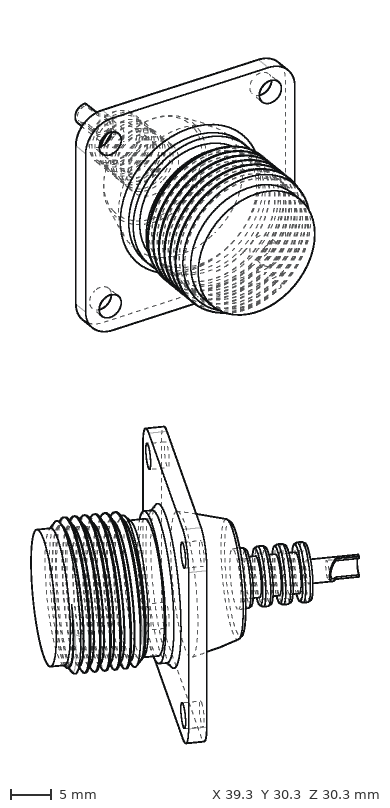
import cadquery as cq
import math

total_length = 39.3

cup_radius = 1.5
cup_bore_radius = 1.18
cup_bore_depth = 3.95
cup_flat_length = 2.9
cup_slope_end = 3.95

stem_start = 6.4
rib_pitch = 2.48
rib_width = 1.3
rib_count = 3
rib_radius = 3.75
rib_bevel_height = 0.2
rib_bevel_length = 0.35
groove_radius = 2.55
collar_start = stem_start + rib_count * rib_pitch

cone_start = 15.45
cone_bevel_length = 0.4
cone_face_radius = 7.1
cone_small_radius = 7.43
cone_large_radius = 9.0
cone_bulge = 0.1

flange_start = 21.8
flange_thickness = 2.28
flange_side = 30.3
flange_corner_radius = 3.85
hole_spacing = 23.2
hole_diameter = 3.2
flange_end = flange_start + flange_thickness

shoulder_base_radius = 10.15
shoulder_radius = 9.4
shoulder_taper_end = 24.85
shoulder_end = 25.85
barrel_radius = 8.45

thread_start = 27.82
thread_end = 37.57
thread_crest_radius = 9.63
thread_root_radius = 8.72
thread_crest_flat = 0.15
thread_half_angle = math.radians(30)
thread_root_overlap = 0.05
helix_start = 26.15
helix_length = 12.7
helix_turns = 10
thread_pitch = helix_length / helix_turns
trim_clearance = 1.18


def revolve_profile(profile):
    """Turn a closed XY profile about the X axis."""
    return profile.close().revolve(360, (0, 0, 0), (1, 0, 0))


def cylinder(start, end, radius):
    """Round bar on the X axis between two stations."""
    return cq.Workplane("YZ", origin=(start, 0, 0)).circle(radius).extrude(end - start)


def make_solder_cup():
    """Bored pin whose +Y half is cut away at the tip, with a sloped end to the cut."""
    pin = cylinder(0, stem_start, cup_radius)
    bore = cylinder(0, cup_bore_depth, cup_bore_radius)
    opening = (
        cq.Workplane("XY")
        .polyline([(0, 0), (cup_flat_length, 0), (cup_slope_end, cup_radius), (0, cup_radius)])
        .close()
        .extrude(cup_radius, both=True)
    )
    return pin.cut(bore).cut(opening)


def make_rib(start):
    """Disc with both rims bevelled."""
    end = start + rib_width
    rim_radius = rib_radius - rib_bevel_height
    profile = cq.Workplane("XY").polyline([
        (start, 0),
        (start, rim_radius),
        (start + rib_bevel_length, rib_radius),
        (end - rib_bevel_length, rib_radius),
        (end, rim_radius),
        (end, 0),
    ])
    return revolve_profile(profile)


def make_stem():
    """Grooved stem: a core, evenly spaced ribs and a collar bevelled on its front rim."""
    stem = cylinder(stem_start, cone_start, groove_radius)
    for index in range(rib_count):
        stem = stem.union(make_rib(stem_start + index * rib_pitch))
    collar = revolve_profile(cq.Workplane("XY").polyline([
        (collar_start, 0),
        (collar_start, rib_radius - rib_bevel_height),
        (collar_start + rib_bevel_length, rib_radius),
        (cone_start, rib_radius),
        (cone_start, 0),
    ]))
    return stem.union(collar)


def make_cone():
    """Slightly bulged cone with a bevelled front rim."""
    side_start = cone_start + cone_bevel_length
    side_middle = (side_start + flange_start) / 2
    middle_radius = (cone_small_radius + cone_large_radius) / 2 + cone_bulge
    profile = (
        cq.Workplane("XY")
        .moveTo(cone_start, 0)
        .lineTo(cone_start, cone_face_radius)
        .lineTo(side_start, cone_small_radius)
        .threePointArc((side_middle, middle_radius), (flange_start, cone_large_radius))
        .lineTo(flange_start, 0)
    )
    return revolve_profile(profile)


def make_flange():
    """Square plate with rounded corners and four through holes."""
    return (
        cq.Workplane("YZ", origin=(flange_start, 0, 0))
        .rect(flange_side, flange_side)
        .extrude(flange_thickness)
        .edges("|X")
        .fillet(flange_corner_radius)
        .faces(">X")
        .workplane()
        .rect(hole_spacing, hole_spacing, forConstruction=True)
        .vertices()
        .hole(hole_diameter)
    )


def make_shoulder():
    """Tapered shoulder seated on the back of the flange."""
    profile = cq.Workplane("XY").polyline([
        (flange_end, 0),
        (flange_end, shoulder_base_radius),
        (shoulder_taper_end, shoulder_radius),
        (shoulder_end, shoulder_radius),
        (shoulder_end, 0),
    ])
    return revolve_profile(profile)


def make_ridge():
    """Helical thread ridge, swept about Z and then laid along X."""
    base_radius = thread_root_radius - thread_root_overlap
    half_crest = thread_crest_flat / 2
    ridge_height = thread_crest_radius - base_radius
    half_base = half_crest + ridge_height * math.tan(thread_half_angle)
    helix = cq.Wire.makeHelix(thread_pitch, helix_length, base_radius)
    return (
        cq.Workplane("XZ")
        .polyline([
            (base_radius, -half_base),
            (thread_crest_radius, -half_crest),
            (thread_crest_radius, half_crest),
            (base_radius, half_base),
        ])
        .close()
        .sweep(cq.Workplane(obj=helix), isFrenet=True)
        .rotate((0, 0, 0), (0, 1, 0), 90)
        .translate((helix_start, 0, 0))
    )


def make_end_trim(thread_edge, bar_end, inward):
    """Ring that turns a bar end down to the barrel, with a 45 degree taper into the thread.

    inward is the X direction (+1 or -1) from the thread edge into the thread.
    """
    clear_radius = thread_crest_radius + trim_clearance
    taper_end = thread_edge + inward * (clear_radius - barrel_radius)
    outer_end = bar_end - inward * trim_clearance
    return revolve_profile(cq.Workplane("XY").polyline([
        (thread_edge, barrel_radius),
        (taper_end, clear_radius),
        (outer_end, clear_radius),
        (outer_end, barrel_radius),
    ]))


def make_barrel():
    """Barrel with a helical thread that runs out through a taper at each end."""
    bar = cylinder(flange_end, total_length, thread_root_radius)
    front_trim = make_end_trim(thread_start, flange_end, 1)
    back_trim = make_end_trim(thread_end, total_length, -1)
    return bar.union(make_ridge()).cut(front_trim).cut(back_trim)


result = (
    make_flange()
    .union(make_cone())
    .union(make_stem())
    .union(make_solder_cup())
    .union(make_shoulder())
    .union(make_barrel())
)